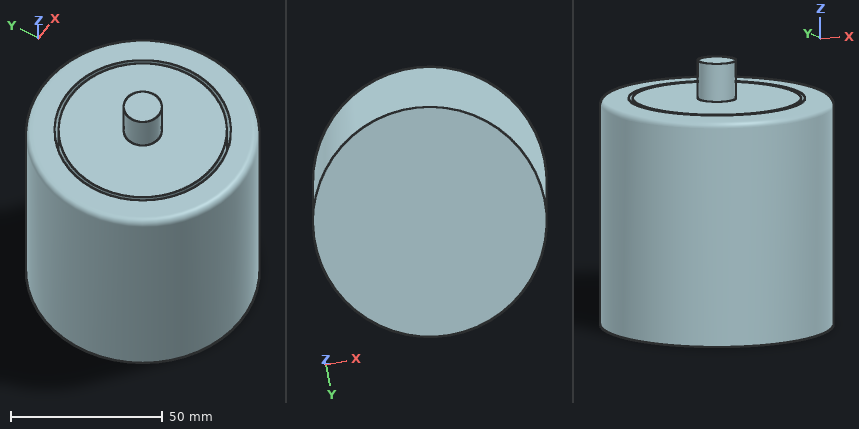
import cadquery as cq

total_height = 88.9
body_diameter = 77.25
body_edge_radius = 2.5

shaft_diameter = 12.6
shaft_length = 12.8

groove_outer_diameter = 58.2
groove_inner_diameter = 55.6
groove_floor_diameter = 57.25
groove_depth = 17.8

body_height = total_height - shaft_length


def make_body():
    """Solid cylinder with a rounded upper rim."""
    body = cq.Workplane("XY").circle(body_diameter / 2).extrude(body_height)
    return body.faces(">Z").edges().fillet(body_edge_radius)


def make_groove():
    """Deep ring with a vertical inner wall and an outer wall narrowing downwards."""
    inner_radius = groove_inner_diameter / 2
    floor_height = body_height - groove_depth
    section = [
        (inner_radius, floor_height),
        (groove_floor_diameter / 2, floor_height),
        (groove_outer_diameter / 2, body_height),
        (inner_radius, body_height),
    ]
    return cq.Workplane("XZ").polyline(section).close().revolve(360, (0, 0, 0), (0, 1, 0))


def make_shaft():
    """Shaft standing on the centre of the top face."""
    return (
        cq.Workplane("XY")
        .workplane(offset=body_height)
        .circle(shaft_diameter / 2)
        .extrude(shaft_length)
    )


result = make_body().cut(make_groove()).union(make_shaft())